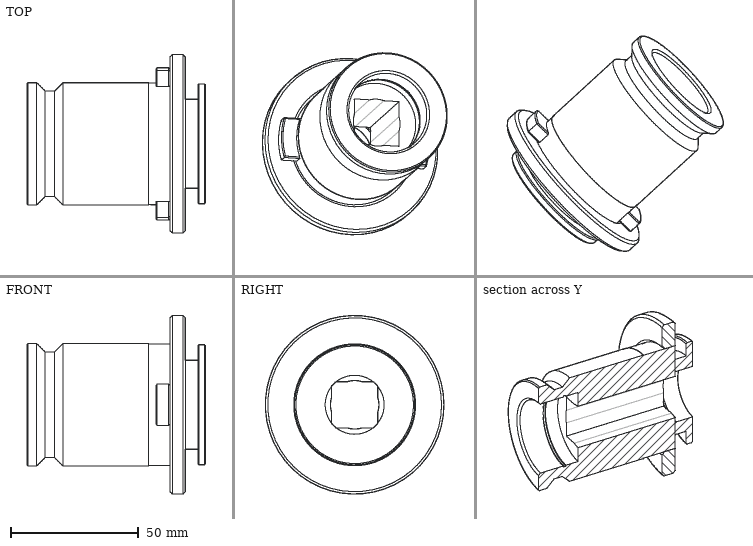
import cadquery as cq


SHANK_RADIUS = 24.0
RELIEF_RADIUS = 23.9
FRONT_CHAMFER = 0.5
NECK_RADIUS = 20.7
RIM_END_X = 3.85
NECK_START_X = 7.15
NECK_END_X = 10.85
REAR_FLANK_END_X = NECK_END_X + SHANK_RADIUS - NECK_RADIUS
RELIEF_START_X = 47.6

BORE_RADIUS = 15.8
BORE_CHAMFER = 0.9
BORE_DEPTH = 17.9
GROOVE_START_X = 11.4
GROOVE_WIDTH = 1.05
GROOVE_DEPTH = 0.5

SQUARE_SIDE = 18.0
DRIVE_HOLE_RADIUS = 9.45

LUG_START_X = 50.55
LUG_RADIUS = 29.9
LUG_HEIGHT = 16.1
LUG_CHAMFER = 0.5

FLANGE_RADIUS = 35.0
FLANGE_START_X = 56.0
FLANGE_END_X = 62.1
FLANGE_CHAMFER = 1.0
COUNTERSINK_DEPTH = 1.05

SLEEVE_RADIUS = 17.5
DISC_RADIUS = 23.5
DISC_THICKNESS = 3.1
DISC_CHAMFER = 0.5
OVERALL_LENGTH = 70.0
SLEEVE_HOLE_RADIUS = 11.55
SLEEVE_HOLE_CHAMFER = 0.4


def revolve_about_x(points):
    """Turn an (x, radius) outline into a solid about the X axis."""
    return cq.Workplane("XY").polyline(points).close().revolve(360, (0, 0, 0), (1, 0, 0))


def cylinder(start_x, end_x, radius):
    return cq.Workplane("YZ", origin=(start_x, 0, 0)).circle(radius).extrude(end_x - start_x)


def make_shank_blank():
    return revolve_about_x([
        (0, 0),
        (0, SHANK_RADIUS - FRONT_CHAMFER),
        (FRONT_CHAMFER, SHANK_RADIUS),
        (RIM_END_X, SHANK_RADIUS),
        (NECK_START_X, NECK_RADIUS),
        (NECK_END_X, NECK_RADIUS),
        (REAR_FLANK_END_X, SHANK_RADIUS),
        (RELIEF_START_X, SHANK_RADIUS),
        (RELIEF_START_X, RELIEF_RADIUS),
        (FLANGE_END_X, RELIEF_RADIUS),
        (FLANGE_END_X, 0),
    ])


def make_lugs():
    """Both lugs as one bar across the shank, rounded at its ends and chamfered front and rear."""
    length = FLANGE_START_X - LUG_START_X
    bar = cq.Workplane("YZ", origin=(LUG_START_X, 0, 0)).rect(2 * FLANGE_RADIUS, LUG_HEIGHT).extrude(length)
    bar = bar.intersect(cylinder(LUG_START_X, FLANGE_START_X, LUG_RADIUS))
    return bar.faces("<X or >X").chamfer(LUG_CHAMFER)


def make_front_bore():
    groove_end_x = GROOVE_START_X + GROOVE_WIDTH
    return revolve_about_x([
        (0, 0),
        (0, BORE_RADIUS + BORE_CHAMFER),
        (BORE_CHAMFER, BORE_RADIUS),
        (GROOVE_START_X, BORE_RADIUS),
        (GROOVE_START_X, BORE_RADIUS + GROOVE_DEPTH),
        (groove_end_x, BORE_RADIUS + GROOVE_DEPTH),
        (groove_end_x, BORE_RADIUS),
        (BORE_DEPTH, BORE_RADIUS),
        (BORE_DEPTH, 0),
    ])


def make_drive_hole():
    square = cq.Workplane("YZ").rect(SQUARE_SIDE, SQUARE_SIDE).extrude(FLANGE_END_X)
    return square.union(cylinder(0, FLANGE_END_X, DRIVE_HOLE_RADIUS))


def make_shank():
    return make_shank_blank().union(make_lugs()).cut(make_front_bore()).cut(make_drive_hole())


def make_flange():
    return revolve_about_x([
        (FLANGE_START_X, RELIEF_RADIUS + COUNTERSINK_DEPTH),
        (FLANGE_START_X, FLANGE_RADIUS - FLANGE_CHAMFER),
        (FLANGE_START_X + FLANGE_CHAMFER, FLANGE_RADIUS),
        (FLANGE_END_X - FLANGE_CHAMFER, FLANGE_RADIUS),
        (FLANGE_END_X, FLANGE_RADIUS - FLANGE_CHAMFER),
        (FLANGE_END_X, RELIEF_RADIUS),
        (FLANGE_START_X + COUNTERSINK_DEPTH, RELIEF_RADIUS),
    ])


def make_sleeve():
    disc_start_x = OVERALL_LENGTH - DISC_THICKNESS
    return revolve_about_x([
        (FLANGE_END_X, SLEEVE_HOLE_RADIUS + SLEEVE_HOLE_CHAMFER),
        (FLANGE_END_X, SLEEVE_RADIUS),
        (disc_start_x, SLEEVE_RADIUS),
        (disc_start_x, DISC_RADIUS - DISC_CHAMFER),
        (disc_start_x + DISC_CHAMFER, DISC_RADIUS),
        (OVERALL_LENGTH - DISC_CHAMFER, DISC_RADIUS),
        (OVERALL_LENGTH, DISC_RADIUS - DISC_CHAMFER),
        (OVERALL_LENGTH, SLEEVE_HOLE_RADIUS),
        (FLANGE_END_X + SLEEVE_HOLE_CHAMFER, SLEEVE_HOLE_RADIUS),
    ])


shank = make_shank()
flange = make_flange()
sleeve = make_sleeve()
result = cq.Compound.makeCompound([shank.val(), flange.val(), sleeve.val()])